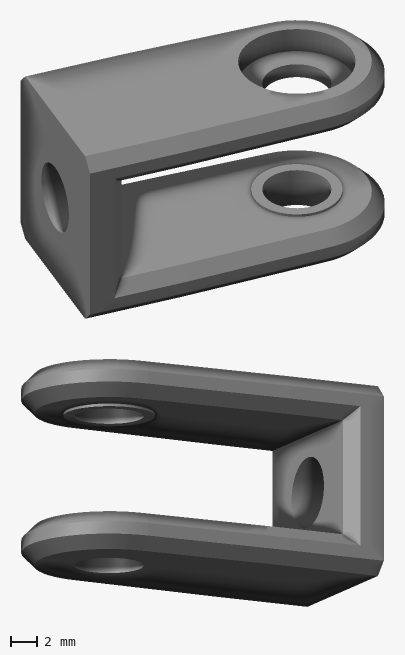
import cadquery as cq

length = 26.75
width = 14.0
height = 14.9

arm_thickness = 2.97
base_thickness = 3.0
edge_chamfer = 1.0

eye_diameter = 13.45
taper_start = 8.02
eye_y = length - eye_diameter / 2

base_hole_diameter = 5.5
pin_hole_diameter = 5.3
counterbore_diameter = 9.0
counterbore_depth = 2.0
boss_diameter = 7.0
boss_height = 0.21

gap = height - 2 * arm_thickness

margin = 0.27


def cylinder_at_eye(diameter, bottom, depth):
    """Upright cylinder on the pin axis."""
    return (
        cq.Workplane("XY", origin=(0, eye_y, bottom))
        .circle(diameter / 2)
        .extrude(depth)
    )


def make_body():
    """Block with the plan outline, chamfered along the top and bottom rims."""
    block = (
        cq.Workplane("XY", origin=(0, 0, -height / 2))
        .moveTo(-width / 2, 0)
        .lineTo(width / 2, 0)
        .lineTo(width / 2, taper_start)
        .lineTo(eye_diameter / 2, eye_y)
        .threePointArc((0, length), (-eye_diameter / 2, eye_y))
        .lineTo(-width / 2, taper_start)
        .close()
        .extrude(height)
    )
    base_edges = cq.selectors.BoxSelector(
        (-width, -margin, -height), (width, margin, height)
    )
    uprights = cq.selectors.StringSyntaxSelector("|Z")
    return block.edges(
        cq.selectors.SubtractSelector(
            cq.selectors.InverseSelector(uprights), base_edges
        )
    ).chamfer(edge_chamfer)


def cut_slot(body):
    """Open the gap between the arms and chamfer its rim."""
    slot = cq.Workplane("XY").box(
        width, length, gap, centered=(True, False, True)
    ).translate((0, base_thickness, 0))
    slotted = body.cut(slot)
    slot_edges = cq.selectors.BoxSelector(
        (-width, base_thickness - margin, -gap / 2 - margin),
        (width, length + margin, gap / 2 + margin),
    )
    inner_corners = cq.selectors.StringSyntaxSelector("|X")
    return slotted.edges(
        cq.selectors.SubtractSelector(slot_edges, inner_corners)
    ).chamfer(edge_chamfer)


result = cut_slot(make_body())

result = result.union(cylinder_at_eye(boss_diameter, gap / 2 - boss_height, boss_height))
result = result.union(cylinder_at_eye(boss_diameter, -gap / 2, boss_height))

result = result.cut(cylinder_at_eye(pin_hole_diameter, -height / 2, height))
result = result.cut(
    cylinder_at_eye(counterbore_diameter, height / 2 - counterbore_depth, counterbore_depth)
)

base_hole = cq.Workplane("XZ").circle(base_hole_diameter / 2).extrude(-base_thickness)
result = result.cut(base_hole)